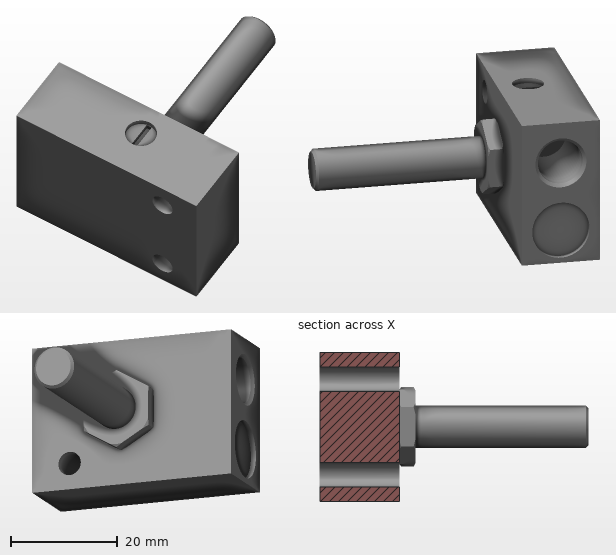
import cadquery as cq
import math

block_x, block_y, block_z = 40.0, 15.0, 28.0
mid_y = block_y / 2
mid_z = block_z / 2

total_y = 50.5
rod_x = 22.0
rod_diameter = 8.0
rod_chamfer = 0.5
nut_flats = 13.0
nut_thickness = 3.0
nut_corner_diameter = nut_flats / math.cos(math.radians(30))
nut_face_diameter = 13.9
nut_chamfer_angle = 30.0

mount_diameter = 4.5
mount_x = 32.45
mount_spacing = 18.0

port_diameter = 8.6
port_mouth_diameter = 9.8
port_depth = 15.15
port_z = 20.0
plug_diameter = 11.0
plug_depth = 1.0
plug_z = 6.5

screw_diameter = 6.0
screw_y = 9.0
screw_sink = 1.0
slot_width = 1.1
slot_length = 5.85
slot_depth = 1.0


def cylinder_x(diameter, depth, z):
    """Cylinder running into the block from the -X face."""
    return cq.Workplane("YZ").center(mid_y, z).circle(diameter / 2).extrude(depth)


def cylinder_y(diameter, length, x, z, start=0.0):
    """Cylinder running toward +Y from the given start."""
    plane = cq.Plane(origin=(x, start, z), xDir=(1, 0, 0), normal=(0, 1, 0))
    return cq.Workplane(plane).circle(diameter / 2).extrude(length)


def make_nut():
    """Hexagon with two corners on the Z axis, chamfered by a cone at each end."""
    plane = cq.Plane(origin=(rod_x, block_y, mid_z), xDir=(0, 0, 1), normal=(0, 1, 0))
    hexagon = cq.Workplane(plane).polygon(6, nut_corner_diameter).extrude(nut_thickness)
    corner_radius = nut_corner_diameter / 2
    face_radius = nut_face_diameter / 2
    chamfer_axial = (corner_radius - face_radius) * math.tan(math.radians(nut_chamfer_angle))
    envelope = (
        cq.Workplane("XY", origin=(rod_x, block_y, mid_z))
        .moveTo(0, 0)
        .lineTo(face_radius, 0)
        .lineTo(corner_radius, chamfer_axial)
        .lineTo(corner_radius, nut_thickness - chamfer_axial)
        .lineTo(face_radius, nut_thickness)
        .lineTo(0, nut_thickness)
        .close()
        .revolve(360, (0, 0, 0), (0, 1, 0))
    )
    return hexagon.intersect(envelope)


def make_port():
    """Blind bore with a 45 degree countersunk mouth."""
    mouth_depth = (port_mouth_diameter - port_diameter) / 2
    mouth = (
        cq.Workplane("YZ")
        .center(mid_y, port_z)
        .circle(port_mouth_diameter / 2)
        .workplane(offset=mouth_depth)
        .circle(port_diameter / 2)
        .loft(ruled=True)
    )
    return cylinder_x(port_diameter, port_depth, port_z).union(mouth)


def make_screw_recess():
    """Round sink with a slot along Y across its floor."""
    depth = screw_sink + slot_depth
    top = cq.Workplane("XY", origin=(rod_x, screw_y, block_z))
    sink = top.circle(screw_diameter / 2).extrude(-screw_sink)
    slot = top.rect(slot_width, slot_length).extrude(-depth)
    return sink.union(slot)


block = cq.Workplane("XY").box(block_x, block_y, block_z, centered=False)
for side in (-1, 1):
    hole_z = mid_z + side * mount_spacing / 2
    block = block.cut(cylinder_y(mount_diameter, block_y, mount_x, hole_z))
block = block.cut(make_port())
block = block.cut(cylinder_x(plug_diameter, plug_depth, plug_z))
block = block.cut(make_screw_recess())

rod = cylinder_y(rod_diameter, total_y - block_y, rod_x, mid_z, start=block_y)
rod = rod.faces(">Y").chamfer(rod_chamfer)

result = block.union(make_nut()).union(rod)